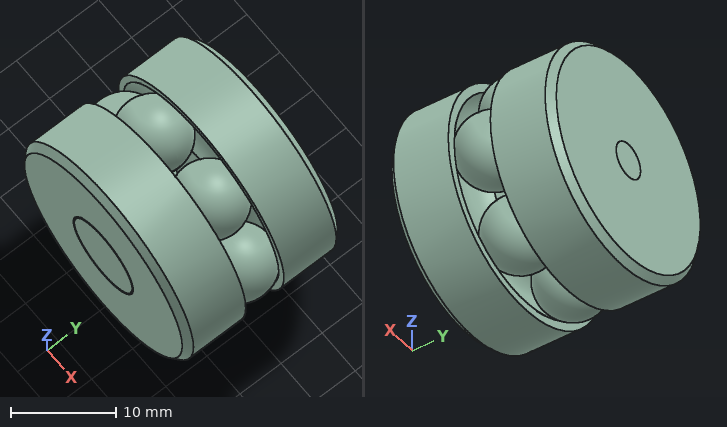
import cadquery as cq


total_width = 19.05
race_gap = 4.78
outer_face = total_width / 2
inner_face = race_gap / 2

front_race_diameter = 25.4
rear_race_diameter = 25.05
race_chamfer = 0.75

ball_count = 6
ball_radius = 3.95
pitch_radius = 8.55

shank_diameter = 3.95
head_diameter = 8.75
clearance = 0.13

front_bore_diameter = shank_diameter + 2 * clearance
countersink_diameter = 9.05
rear_bore_diameter = shank_diameter


def revolve_about_y(points):
    """Solid of revolution about the Y axis from (radius, Y) points."""
    return cq.Workplane("XY").polyline(points).close().revolve(360, (0, 0), (0, 1))


def make_screw_shape(shank, head):
    """Full-width shank with a 90 degree conical head at the front face."""
    shank_radius = shank / 2
    head_radius = head / 2
    head_height = head_radius - shank_radius
    return revolve_about_y([
        (0, -outer_face),
        (head_radius, -outer_face),
        (shank_radius, -outer_face + head_height),
        (shank_radius, outer_face),
        (0, outer_face),
    ])


def make_ball_groove():
    """Torus swept by the balls around the bearing axis."""
    return (
        cq.Workplane("XY")
        .center(pitch_radius, 0)
        .circle(ball_radius)
        .revolve(360, (-pitch_radius, 0), (-pitch_radius, 1))
    )


def make_race_blank(diameter):
    """Disc on the +Y side with a chamfered outer edge and a ball groove."""
    radius = diameter / 2
    disc = revolve_about_y([
        (0, inner_face),
        (radius, inner_face),
        (radius, outer_face - race_chamfer),
        (radius - race_chamfer, outer_face),
        (0, outer_face),
    ])
    return disc.cut(make_ball_groove())


def make_front_race():
    """Larger race, with a countersunk clearance hole for the screw."""
    hole = make_screw_shape(front_bore_diameter, countersink_diameter)
    return make_race_blank(front_race_diameter).mirror("XZ").cut(hole)


def make_rear_race():
    """Smaller race, with a plain through hole that holds the screw."""
    hole = cq.Workplane("XZ").circle(rear_bore_diameter / 2).extrude(-total_width)
    return make_race_blank(rear_race_diameter).cut(hole)


def make_balls():
    """Evenly spaced ring of separate balls, with one on each side along X."""
    balls = []
    for index in range(ball_count):
        ball = cq.Workplane("XY").sphere(ball_radius).translate((-pitch_radius, 0, 0))
        angle = index * 360 / ball_count
        balls.append(ball.rotate((0, 0, 0), (0, 1, 0), angle).val())
    return balls


front_race = make_front_race()
rear_race = make_rear_race()
screw = make_screw_shape(shank_diameter, head_diameter)
balls = make_balls()

result = cq.Compound.makeCompound([front_race.val(), rear_race.val(), screw.val(), *balls])